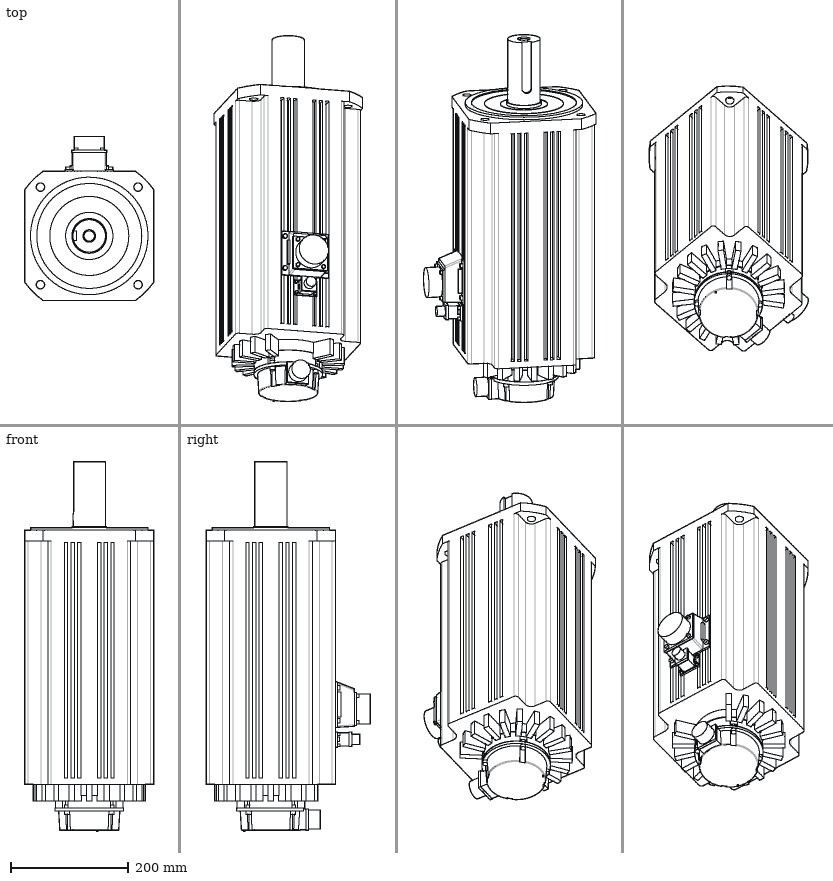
import cadquery as cq
import math


shaft_top = 629.5
collar_top = 519.0
pilot_top = 517.5
flange_top = 513.0
flange_bottom = 494.0
groove_top = 492.0
groove_bottom = 91.0
body_bottom = 80.0
hub_step_z = 61.0
fin_bottom = 51.5
ring_top = 40.0
ring_bottom = 34.5
cover_bottom = 2.0

width = 220.0
half_width = width / 2
tolerance = 0.05
flange_corner_radius = 135.5
bolt_offset = 83.0
bolt_hole_radius = 7.0
pilot_radius = 100.0
pilot_recess_steps = [(89.5, 2.0), (67.5, 0.5), (40.0, 0.5)]
collar_radius = 29.5
shaft_radius = 28.0
key_width = 16.5
key_depth = 6.0
key_end_z = 540.0
center_hole_radius = 9.0
center_hole_depth = 44.0
center_hole_chamfer = 2.0
drill_half_angle = math.radians(59)

notch_edge = 70.5
lobe_radius = 5.5
notch_radius = 12.0
groove_width = 5.5
groove_pitch = 11.5
groove_first = 17.0
grooves_per_band = 3
groove_floor_radius = 100.0

fin_tip_radius = 95.5
fin_width = 9.5
fin_count = 20
fins_left_out = (4, 5, 6)
hub_radius = 59.0
ring_radius = 58.5
upper_ring_radius = 58.0
cover_top_radius = 52.0
cover_bottom_radius = 50.5
cover_edge_fillet = 1.0
cover_screw_circle = 53.5
cover_screw_radius = 4.5
cover_screw_bottom = 29.0
cover_screw_top = 45.5
ring_notch_width = 12.5
ring_notch_floor = 50.5
cover_channel_width = 9.5
cover_channel_floor = 48.0
pip_radius = 1.0
pip_x = 14.0
pip_y = -45.5

encoder_z = 20.0
encoder_box_width = 36.5
encoder_plate_width = 38.0
encoder_box_y = 60.0
encoder_plate_y = 64.0
encoder_plate_height = 36.5
encoder_box_height = 35.0
encoder_socket_radius = 16.5
encoder_socket_y = 84.5

base_plate_thickness = 3.0
power_z = 208.5
power_base_half = 41.0
power_base_bottom = 177.0
power_base_top = 254.0
power_box_half = 29.0
power_box_inner_top = 255.5
power_box_fillet = 2.5
power_plate_half_width = 30.0
power_box_bottom = 179.0
power_box_outer_top = 243.0
power_box_depth = 32.0
power_plate_half_height = 28.5
power_plate_depth = 36.0
power_socket_radius = 26.0
power_socket_depth = 59.0
power_plate_screw = 22.5
power_plate_screw_radius = 3.0
power_plate_screw_height = 4.0
power_base_screw_x = 36.5
power_base_screw_z = (188.0, 245.0)
base_screw_radius = 4.0
base_screw_height = 4.5
gusset_half = 33.0
gusset_depth = 9.5
gusset_bottom = 195.0
gusset_top = 237.0

brake_z = 157.0
brake_base_half = 20.0
brake_base_bottom = 143.0
brake_base_top = 169.0
brake_box_half = 11.5
brake_box_depth = 22.5
brake_plate_half = 12.5
brake_plate_depth = 28.0
brake_socket_radius = 9.0
brake_socket_depth = 41.5
brake_screw_x = 16.5
brake_screw_z = (146.5, 165.5)
brake_screw_radius = 2.5
brake_gusset_half = 13.0
brake_gusset_depth = 7.0
brake_gusset_half_height = 4.0


def block(x_min, x_max, y_min, y_max, z_min, z_max):
    """Axis-aligned box between two opposite corners."""
    size = (x_max - x_min, y_max - y_min, z_max - z_min)
    return cq.Workplane("XY").box(*size, centered=False).translate((x_min, y_min, z_min))


def disc(radius, z_min, z_max, x=0.0, y=0.0):
    """Cylinder along Z."""
    return cq.Workplane("XY", origin=(x, y, z_min)).circle(radius).extrude(z_max - z_min)


def side_disc(radius, x, z, y_min, y_max):
    """Cylinder along Y, growing towards +Y."""
    face = cq.Workplane("XZ", origin=(x, y_min, z)).circle(radius)
    return face.extrude(-(y_max - y_min))


def spin(shape, degrees):
    """Turn a shape around the motor axis."""
    return shape.rotate((0, 0, 0), (0, 0, 1), degrees)


def profile_corners(body, nearest, farthest):
    """Vertical edges whose larger distance from the X or Y axis plane lies in the given range."""
    corners = []
    for edge in body.edges("|Z").vals():
        center = edge.Center()
        distance = max(abs(center.x), abs(center.y))
        if nearest - tolerance < distance < farthest + tolerance:
            corners.append(edge)
    return corners


def make_body():
    """Square profile with rounded corner notches and two groove bands on each side."""
    height = flange_bottom - body_bottom
    body = block(-half_width, half_width, -half_width, half_width, body_bottom, flange_bottom)
    notch_size = half_width - notch_edge
    notch_center = notch_edge + notch_size / 2
    notch = (
        cq.Workplane("XY", origin=(0, 0, body_bottom))
        .rect(2 * notch_center, 2 * notch_center, forConstruction=True)
        .vertices()
        .rect(notch_size, notch_size)
        .extrude(height)
    )
    body = body.cut(notch)
    body = body.newObject(profile_corners(body, 0, notch_edge)).fillet(notch_radius)
    body = body.newObject(profile_corners(body, half_width, half_width)).fillet(lobe_radius)

    grooves = None
    for number in range(grooves_per_band):
        for side in (-1, 1):
            x = side * (groove_first + number * groove_pitch)
            left = x - groove_width / 2
            right = x + groove_width / 2
            slot = block(left, right, -half_width, -notch_edge, groove_bottom, groove_top)
            grooves = slot if grooves is None else grooves.union(slot)
    grooves = grooves.cut(disc(groove_floor_radius, groove_bottom, groove_top))
    for quarter in range(4):
        body = body.cut(spin(grooves, 90 * quarter))
    return body


def make_flange():
    """Square flange with corners turned to a circle, four bolt holes and a stepped pilot."""
    flange = block(-half_width, half_width, -half_width, half_width, flange_bottom, flange_top)
    flange = flange.intersect(disc(flange_corner_radius, flange_bottom, flange_top))
    flange = (
        flange.faces(">Z")
        .workplane(origin=(0, 0, flange_top))
        .rect(2 * bolt_offset, 2 * bolt_offset, forConstruction=True)
        .vertices()
        .hole(2 * bolt_hole_radius)
    )
    pilot = disc(pilot_radius, flange_top, pilot_top)
    depth = 0.0
    for radius, extra_depth in pilot_recess_steps:
        depth += extra_depth
        pilot = pilot.cut(disc(radius, pilot_top - depth, pilot_top))
    return flange.union(pilot)


def make_shaft():
    """Shaft with collar, open-ended keyway on the -X side and a drilled centre hole."""
    shaft = disc(shaft_radius, flange_bottom, shaft_top)
    shaft = shaft.union(disc(collar_radius, flange_bottom, collar_top))
    key_floor = shaft_radius - key_depth
    key_radius = key_width / 2
    key_center_z = key_end_z + key_radius
    keyway = block(-collar_radius, -key_floor, -key_radius, key_radius, key_center_z, shaft_top)
    key_end = (
        cq.Workplane("YZ", origin=(-collar_radius, 0, key_center_z))
        .circle(key_radius)
        .extrude(collar_radius - key_floor)
    )
    shaft = shaft.cut(keyway).cut(key_end)

    mouth_radius = center_hole_radius + center_hole_chamfer
    floor_z = shaft_top - center_hole_depth
    drill_tip_z = floor_z - center_hole_radius / math.tan(drill_half_angle)
    drill = (
        cq.Workplane("XZ")
        .moveTo(0, drill_tip_z)
        .lineTo(center_hole_radius, floor_z)
        .lineTo(center_hole_radius, shaft_top - center_hole_chamfer)
        .lineTo(mouth_radius, shaft_top)
        .lineTo(0, shaft_top)
        .close()
        .revolve(360, (0, 0, 0), (0, 1, 0))
    )
    return shaft.cut(drill)


def make_fins():
    """Radial cooling fins around the hub under the body."""
    fins = disc(hub_radius, hub_step_z, body_bottom)
    fin = block(0, fin_tip_radius, -fin_width / 2, fin_width / 2, fin_bottom, body_bottom)
    for number in range(fin_count):
        if number not in fins_left_out:
            fins = fins.union(spin(fin, 360 / fin_count * number))
    return fins


def make_rear_cover():
    """Mounting ring and tapered cover with four screws on the diagonals and a small pip below."""
    ring = disc(ring_radius, ring_bottom, ring_top)
    ring = ring.union(disc(upper_ring_radius, ring_top, hub_step_z))
    cover = (
        cq.Workplane("XY", origin=(0, 0, cover_bottom))
        .circle(cover_bottom_radius)
        .workplane(offset=ring_bottom - cover_bottom)
        .circle(cover_top_radius)
        .loft()
        .faces("<Z")
        .edges()
        .fillet(cover_edge_fillet)
    )
    half_notch = ring_notch_width / 2
    half_channel = cover_channel_width / 2
    ring_notch = block(ring_notch_floor, hub_radius, -half_notch, half_notch, ring_top, fin_bottom)
    channel = block(cover_channel_floor, hub_radius, -half_channel, half_channel, 0, ring_bottom)
    screw = disc(cover_screw_radius, cover_screw_bottom, cover_screw_top, cover_screw_circle)
    pip = disc(pip_radius, 0, ring_bottom, pip_x, pip_y)
    diagonals = [45 + 90 * quarter for quarter in range(4)]
    for angle in diagonals:
        ring = ring.cut(spin(ring_notch, angle))
        cover = cover.cut(spin(channel, angle))
    rear = ring.union(cover).union(pip)
    for angle in diagonals:
        rear = rear.union(spin(screw, angle))
    return rear


def make_encoder_connector():
    """Box, plate and round socket on the +Y side of the rear cover."""
    half = encoder_box_width / 2
    half_box = encoder_box_height / 2
    half_plate_height = encoder_plate_height / 2
    half_plate_width = encoder_plate_width / 2
    box = block(-half, half, 0, encoder_box_y, encoder_z - half_box, encoder_z + half_box)
    plate = block(
        -half_plate_width, half_plate_width, encoder_box_y, encoder_plate_y,
        encoder_z - half_plate_height, encoder_z + half_plate_height,
    )
    socket = side_disc(encoder_socket_radius, 0, encoder_z, encoder_plate_y, encoder_socket_y)
    return box.union(plate).union(socket)


def make_base(half, z_min, z_max, screw_x, screw_zs, screw_radius):
    """Connector base plate on the +Y face with a screw near each corner."""
    plate_face = half_width + base_plate_thickness
    base = block(-half, half, half_width, plate_face, z_min, z_max)
    for side in (-1, 1):
        for z in screw_zs:
            screw = side_disc(screw_radius, side * screw_x, z, half_width, plate_face + base_screw_height)
            base = base.union(screw)
    return base


def make_power_connector():
    """Large connector: base, box with sloping top, socket plate and round socket."""
    connector = make_base(
        power_base_half, power_base_bottom, power_base_top,
        power_base_screw_x, power_base_screw_z, base_screw_radius,
    )
    box_face = half_width + power_box_depth
    plate_face = half_width + power_plate_depth
    box = (
        cq.Workplane("YZ", origin=(-power_box_half, 0, 0))
        .moveTo(half_width, power_base_bottom)
        .lineTo(box_face, power_box_bottom)
        .lineTo(box_face, power_box_outer_top)
        .lineTo(half_width, power_box_inner_top)
        .close()
        .extrude(2 * power_box_half)
        .edges("not (|X or |Z)")
        .fillet(power_box_fillet)
    )
    gusset = block(
        -gusset_half, gusset_half, half_width, half_width + gusset_depth, gusset_bottom, gusset_top
    )
    plate = block(
        -power_plate_half_width, power_plate_half_width, box_face, plate_face,
        power_z - power_plate_half_height, power_z + power_plate_half_height,
    )
    socket = side_disc(power_socket_radius, 0, power_z, plate_face, half_width + power_socket_depth)
    connector = connector.union(box).union(gusset).union(plate).union(socket)
    for side in (-1, 1):
        for level in (-1, 1):
            x = side * power_plate_screw
            z = power_z + level * power_plate_screw
            screw_end = plate_face + power_plate_screw_height
            connector = connector.union(side_disc(power_plate_screw_radius, x, z, plate_face, screw_end))
    return connector


def make_brake_connector():
    """Small connector: base, box, socket plate and round socket."""
    connector = make_base(
        brake_base_half, brake_base_bottom, brake_base_top,
        brake_screw_x, brake_screw_z, brake_screw_radius,
    )
    box_face = half_width + brake_box_depth
    plate_face = half_width + brake_plate_depth
    box = block(
        -brake_box_half, brake_box_half, half_width, box_face,
        brake_z - brake_box_half, brake_z + brake_box_half,
    )
    plate = block(
        -brake_plate_half, brake_plate_half, box_face, plate_face,
        brake_z - brake_plate_half, brake_z + brake_plate_half,
    )
    socket = side_disc(brake_socket_radius, 0, brake_z, plate_face, half_width + brake_socket_depth)
    gusset = block(
        -brake_gusset_half, brake_gusset_half, half_width, half_width + brake_gusset_depth,
        brake_z - brake_gusset_half_height, brake_z + brake_gusset_half_height,
    )
    return connector.union(box).union(gusset).union(plate).union(socket)


result = (
    make_body()
    .union(make_flange())
    .union(make_shaft())
    .union(make_fins())
    .union(make_rear_cover())
    .union(make_encoder_connector())
    .union(make_power_connector())
    .union(make_brake_connector())
)